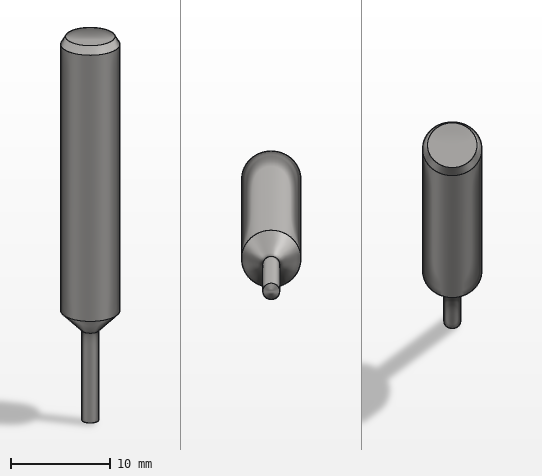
import cadquery as cq
import math

total_length = 42.0
shank_diameter = 6.0
drill_diameter = 1.72
shank_straight_end = 12.22
taper_half_angle = 45.0
chamfer_width = 0.5
chamfer_height = 0.85
point_angle = 140.0

shank_radius = shank_diameter / 2
drill_radius = drill_diameter / 2
taper_height = (shank_radius - drill_radius) / math.tan(math.radians(taper_half_angle))
joint_height = shank_straight_end - taper_height
point_height = drill_radius / math.tan(math.radians(point_angle / 2))


def revolve_profile(points):
    """Turn a closed (radius, height) profile around the Z axis."""
    return cq.Workplane("XZ").polyline(points).close().revolve(360, (0, 0), (0, 1))


def make_shank():
    """Cylindrical shank with a chamfered top and a conical lower end."""
    return revolve_profile([
        (0, joint_height),
        (drill_radius, joint_height),
        (shank_radius, shank_straight_end),
        (shank_radius, total_length - chamfer_height),
        (shank_radius - chamfer_width, total_length),
        (0, total_length),
    ])


def make_drill():
    """Slim drill with a conical point, butted against the end of the shank."""
    return revolve_profile([
        (0, 0),
        (drill_radius, point_height),
        (drill_radius, joint_height),
        (0, joint_height),
    ])


shank = make_shank()
drill = make_drill()

result = cq.Compound.makeCompound([shank.val(), drill.val()])